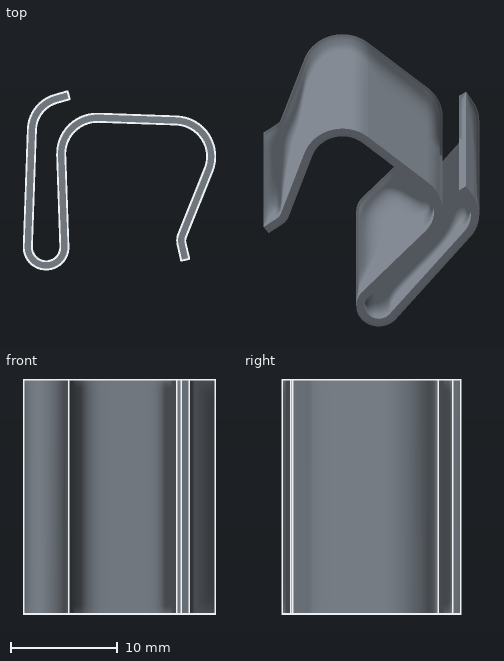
import cadquery as cq
import math

width = 22.0
thickness = 0.8
half = thickness / 2

lip_heading = 196.0
outer_leg_heading = 268.0
inner_leg_heading = 452.0
back_heading = 358.0
arm_heading = 248.0
toe_heading = 283.0

lip_length = 1.28
outer_leg_length = 11.0
inner_leg_length = 8.58
back_length = 7.3
arm_length = 6.58
toe_length = 1.55

lip_radius = 3.08
fold_radius = 1.72
corner_radius = 3.39
toe_radius = 1.39

stretches = [
    (lip_heading, lip_length, lip_radius),
    (outer_leg_heading, outer_leg_length, fold_radius),
    (inner_leg_heading, inner_leg_length, corner_radius),
    (back_heading, back_length, corner_radius),
    (arm_heading, arm_length, toe_radius),
    (toe_heading, toe_length, None),
]


def step(point, heading, distance):
    """Move a point by a distance in the direction of a heading."""
    angle = math.radians(heading)
    return (point[0] + distance * math.cos(angle), point[1] + distance * math.sin(angle))


def centreline():
    """List (point, heading) at each end of every straight and at the middle of every bend."""
    point = (0.0, 0.0)
    stations = []
    for index, (heading, length, radius) in enumerate(stretches):
        stations.append((point, heading))
        point = step(point, heading, length)
        stations.append((point, heading))
        if radius is None:
            continue
        next_heading = stretches[index + 1][0]
        side = math.copysign(90.0, next_heading - heading)
        centre = step(point, heading + side, radius)
        middle_heading = (heading + next_heading) / 2
        stations.append((step(centre, middle_heading - side, radius), middle_heading))
        point = step(centre, next_heading - side, radius)
    return stations


def trace_side(outline, points):
    """Draw one face of the strip: straights alternating with three-point arcs."""
    outline = outline.lineTo(*points[1])
    for index in range(2, len(points), 3):
        bend_middle, bend_end, straight_end = points[index:index + 3]
        outline = outline.threePointArc(bend_middle, bend_end).lineTo(*straight_end)
    return outline


stations = centreline()
left_face = [step(point, heading + 90.0, half) for point, heading in stations]
right_face = [step(point, heading - 90.0, half) for point, heading in stations]
right_face.reverse()

outline = cq.Workplane("XY").moveTo(*left_face[0])
outline = trace_side(outline, left_face)
outline = outline.lineTo(*right_face[0])
outline = trace_side(outline, right_face).close()

result = outline.extrude(width)